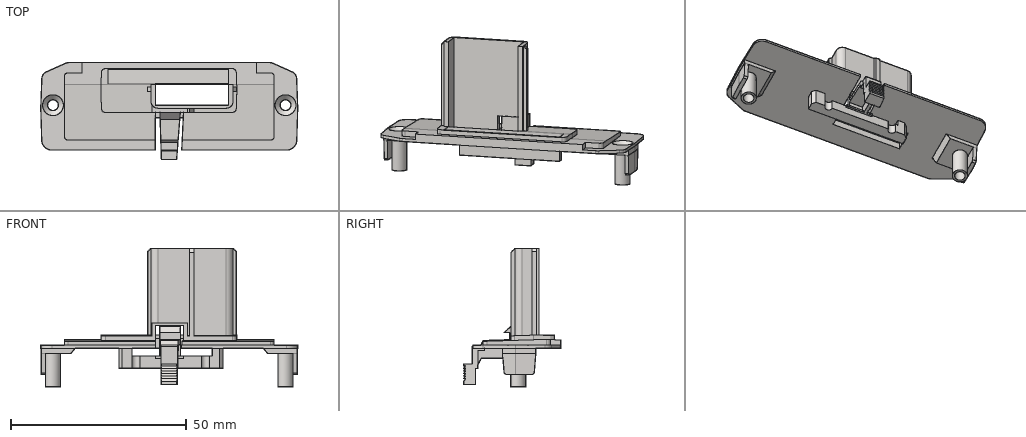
import cadquery as cq

LENGTH = 73.45
PLATE_T = 0.9
BACK_Y = 12.2
FRONT_Y = -12.85
SIDE_APEX_Y = -0.7
END_X = 36.35
FRONT_CORNER_R = 2.95
BACK_SLANT_X = 29.2
BACK_SLANT_Y = 8.95
BACK_CORNER_R = 2.2

KINK_Y = 5.95
SLOPE = 0.032
REAR_SLOPE = 0.01
MID_Z = 2.5
MID_HALF = 30.0
MID_FRONT_Y = -10.0
MID_BACK_Y = 9.25
MID_TAIL_HALF = 24.9
TOP_Z = 3.8
TOP_LEFT = -19.3
TOP_RIGHT = 19.1
TOP_BOW = 0.2
TOP_BOW_Y = 4.4
TOP_FRONT_Y = -2.05
TOP_BACK_Y = 10.4
LAYER_R = 1.1

RAMP_LEFT = -17.5
RAMP_FRONT_Y = 6.2
RAMP_BACK_Y = 10.15
RAMP_DROP = 0.2
LEDGE_Z = 2.9

COLUMN_TOP = 28.6
CHANNEL_LEFT = -3.9
CHANNEL_RIGHT = 16.9
SIDE_WALL = 1.3
FRONT_WALL = 0.9
COLUMN_R = 2.0
COLUMN_LEFT = CHANNEL_LEFT - SIDE_WALL
COLUMN_RIGHT = CHANNEL_RIGHT + SIDE_WALL

GUIDE_RIB_W = 1.25
SIDE_RIB_H = 0.95
FRONT_RIB_H = -FRONT_WALL - TOP_FRONT_Y
FRONT_RIB_X = 6.5
SIDE_RIB_Y = 4.55

FRAME_LEFT = -5.0
FRAME_RIGHT = 5.15
FRAME_TOP = 7.3
WINDOW_TOP = 6.5

SLOT_LEFT = -4.0
SLOT_RIGHT_BACK = 4.05
SLOT_RIGHT_FRONT = 3.5

SCREW_X = 33.2
SCREW_D = 3.0
SINK_D = 5.95
BOSS_D = 4.3
BOSS_BOTTOM = -11.0
PAD_T = 1.55
PAD_INNER_X = 26.8
PAD_CHAMFER = 1.3
WALL_INNER_X = 35.3
PAD_INSET = 0.1
WALL_INSET = 0.15
WALL_BOTTOM = -7.5
WALL_BACK_Y = 5.1
WALL_FRONT_Y = -4.5
WALL_DRAFT = 0.45
WALL_CHAMFER = 0.5

BRACKET_LEFT = -14.4
BRACKET_RIGHT = 15.35
BRACKET_FRONT_Y = -3.1
BRACKET_BOTTOM = -5.7
BRACKET_CHAMFER = 0.95
BAR_TOP = -2.1
OPENING_LEFT = -10.6
OPENING_RIGHT = 12.3
GROOVE_R = 1.1
GROOVE_XS = (-9.5, 10.35)

WEB_FRONT_Y = -3.6
LATCH_BACK_Y = -1.5
LATCH_BOTTOM = -2.9
STEM_FRONT_Y = -2.4
HOOK_TIP_Y = -4.05
HOOK_Z = 4.5
HOOK_TOP = 6.3
ARM_Z = 2.5
ARM_T = 1.5
ARM_STEP_Y = -10.0
ARM_DROP_Y = -10.7
STEP_BACK_Y = -9.6
LEG_BACK_Y = -11.5
LEG_FRONT_Y = -13.15
LEG_BOTTOM = -5.8
LEG_CHAMFER = 0.3
RIB_INNER_X = 1.4
RIB_OUTER_X = 2.35
GUSSET_H = 1.9
GUSSET_Y = -10.5
GRIP_BACK_Y = -12.1
GRIP_FRONT_Y = -15.6
GRIP_TOP = -4.4
GRIP_BOTTOM = -10.35
LATCH_LEFT_BACK = -2.7
LATCH_LEFT_FRONT = -2.3
LATCH_RIGHT_BACK = 3.2
LATCH_RIGHT_FRONT = 2.1
TOOTH_COUNT = 6
TOOTH_PITCH = 0.7
TOOTH_DEPTH = 0.5
FIRST_TOOTH_Z = -5.0


def block(x0, x1, y0, y1, z0, z1):
    """Box between two opposite corners."""
    return cq.Workplane("XY").box(x1 - x0, y1 - y0, z1 - z0, centered=False).translate((x0, y0, z0))


def plan_prism(points, z0, z1):
    """Prism over a plan outline in X and Y."""
    return cq.Workplane("XY").workplane(offset=z0).polyline(points).close().extrude(z1 - z0)


def side_prism(points, x0, x1):
    """Prism along X over a side profile in Y and Z."""
    return cq.Workplane("YZ").workplane(offset=x0).polyline(points).close().extrude(x1 - x0)


def plate_outline(z0, z1, inset=0.0):
    """Base plate outline as a prism, optionally drawn in at both ends."""
    half = LENGTH / 2 - inset
    end = END_X - inset
    right = [
        (end, FRONT_Y),
        (half, SIDE_APEX_Y),
        (end, BACK_SLANT_Y),
        (BACK_SLANT_X, BACK_Y),
    ]
    left = [(-x, y) for x, y in reversed(right)]
    body = plan_prism(right + left, z0, z1)
    body = body.edges("|Z").edges("<Y").fillet(FRONT_CORNER_R)
    for x in (-end, end):
        corner = cq.selectors.NearestToPointSelector((x, BACK_SLANT_Y, (z0 + z1) / 2))
        body = body.edges("|Z").edges(corner).fillet(BACK_CORNER_R)
    for x in (-BACK_SLANT_X, BACK_SLANT_X):
        corner = cq.selectors.NearestToPointSelector((x, BACK_Y, (z0 + z1) / 2))
        body = body.edges("|Z").edges(corner).fillet(BACK_CORNER_R)
    return body


def sloped_layer(plan, top_z):
    """Trim a plan prism to a top that falls away to both sides of the kink."""
    front_z = top_z - SLOPE * (KINK_Y - FRONT_Y)
    back_z = top_z - REAR_SLOPE * (BACK_Y - KINK_Y)
    profile = [(FRONT_Y, 0), (BACK_Y, 0), (BACK_Y, back_z), (KINK_Y, top_z), (FRONT_Y, front_z)]
    return plan.intersect(side_prism(profile, -LENGTH / 2, LENGTH / 2))


def mid_layer():
    plan = block(-MID_HALF, MID_HALF, MID_FRONT_Y, MID_BACK_Y, 0, MID_Z)
    plan = plan.edges("|Z").fillet(LAYER_R)
    tail = block(-MID_TAIL_HALF, MID_TAIL_HALF, KINK_Y, BACK_Y, 0, MID_Z)
    return sloped_layer(plan.union(tail), MID_Z)


def top_layer():
    outline = [
        (TOP_LEFT, TOP_FRONT_Y),
        (TOP_RIGHT, TOP_FRONT_Y),
        (TOP_RIGHT + TOP_BOW, TOP_BOW_Y),
        (TOP_RIGHT, TOP_BACK_Y),
        (TOP_LEFT, TOP_BACK_Y),
        (TOP_LEFT - TOP_BOW, TOP_BOW_Y),
    ]
    plan = plan_prism(outline, 0, TOP_Z)
    for side in ("<Y", ">Y"):
        plan = plan.edges("|Z").edges(side).fillet(LAYER_R)
    layer = sloped_layer(plan, TOP_Z)
    ramp = [(RAMP_FRONT_Y, TOP_Z), (RAMP_BACK_Y, TOP_Z), (RAMP_BACK_Y, TOP_Z - RAMP_DROP)]
    ledge = block(CHANNEL_LEFT, CHANNEL_RIGHT, KINK_Y, RAMP_FRONT_Y, LEDGE_Z, TOP_Z)
    return layer.cut(side_prism(ramp, RAMP_LEFT, CHANNEL_RIGHT)).cut(ledge)


def column():
    """Solid column with guide ribs and the window frame; the channel is cut later."""
    body = block(COLUMN_LEFT, COLUMN_RIGHT, -FRONT_WALL, KINK_Y, PLATE_T, COLUMN_TOP)
    body = body.edges("|Z").edges("<Y").fillet(COLUMN_R)

    rib_x0 = FRONT_RIB_X - GUIDE_RIB_W / 2
    rib_x1 = FRONT_RIB_X + GUIDE_RIB_W / 2
    front_rib = block(rib_x0, rib_x1, TOP_FRONT_Y, 0, PLATE_T, COLUMN_TOP)
    front_rib = front_rib.edges("<Y and >Z").chamfer(FRONT_RIB_H)

    rib_y0 = SIDE_RIB_Y - GUIDE_RIB_W / 2
    rib_y1 = SIDE_RIB_Y + GUIDE_RIB_W / 2
    rib_left = COLUMN_LEFT - SIDE_RIB_H
    rib_right = COLUMN_RIGHT + SIDE_RIB_H
    side_ribs = block(rib_left, rib_right, rib_y0, rib_y1, PLATE_T, COLUMN_TOP)
    side_ribs = side_ribs.edges("|Y and >Z").chamfer(SIDE_RIB_H)

    frame = block(FRAME_LEFT, FRAME_RIGHT, TOP_FRONT_Y, 0, PLATE_T, FRAME_TOP)
    return body.union(front_rib).union(side_ribs).union(frame)


def slot_and_window():
    """Slot through the plate, continued up through the front wall as the window."""
    plan = [
        (SLOT_LEFT, FRONT_Y),
        (SLOT_RIGHT_FRONT, FRONT_Y),
        (SLOT_RIGHT_BACK, TOP_FRONT_Y),
        (SLOT_RIGHT_BACK, 0),
        (SLOT_LEFT, 0),
    ]
    return plan_prism(plan, 0, WINDOW_TOP)


def screw_boss(side):
    """Pad, outer wall and post under one end; side is -1 or 1."""
    outer = LENGTH / 2
    pad_profile = [
        (side * outer, 0),
        (side * PAD_INNER_X, 0),
        (side * (PAD_INNER_X + PAD_CHAMFER), -PAD_T),
        (side * outer, -PAD_T),
    ]
    pad = cq.Workplane("XZ", origin=(0, WALL_BACK_Y, 0)).polyline(pad_profile).close()
    pad = pad.extrude(WALL_BACK_Y - WALL_FRONT_Y)

    back = WALL_BACK_Y - WALL_DRAFT
    front = WALL_FRONT_Y + WALL_DRAFT
    wall_profile = [
        (WALL_FRONT_Y, 0),
        (WALL_BACK_Y, 0),
        (WALL_BACK_Y, -PAD_T),
        (back, WALL_BOTTOM + WALL_CHAMFER),
        (back - WALL_CHAMFER, WALL_BOTTOM),
        (front + WALL_CHAMFER, WALL_BOTTOM),
        (front, WALL_BOTTOM + WALL_CHAMFER),
        (WALL_FRONT_Y, -PAD_T),
    ]
    wall = side_prism(wall_profile, side * WALL_INNER_X, side * outer)
    pad = pad.intersect(plate_outline(-PAD_T, 0, PAD_INSET))
    wall = wall.intersect(plate_outline(WALL_BOTTOM, 0, WALL_INSET))
    post = cq.Workplane("XY").center(side * SCREW_X, 0).circle(BOSS_D / 2).extrude(BOSS_BOTTOM)
    return pad.union(wall).union(post)


def screw_hole(side):
    """Through hole with a right-angled countersink from the plate top."""
    x = side * SCREW_X
    hole = cq.Workplane("XY").center(x, 0).circle(SCREW_D / 2).extrude(BOSS_BOTTOM)
    sink_depth = (SINK_D - SCREW_D) / 2
    sink = cq.Solid.makeCone(
        SINK_D / 2, SCREW_D / 2, sink_depth, cq.Vector(x, 0, PLATE_T), cq.Vector(0, 0, -1)
    )
    return hole.union(cq.Workplane(sink))


def bracket():
    """Chamfered block under the plate with an opening and two half-round upright grooves."""
    body = block(BRACKET_LEFT, BRACKET_RIGHT, BRACKET_FRONT_Y, 0, BRACKET_BOTTOM, 0)
    body = body.edges("|Z and <Y").chamfer(BRACKET_CHAMFER)
    body = body.cut(block(OPENING_LEFT, OPENING_RIGHT, BRACKET_FRONT_Y, 0, BAR_TOP, 0))
    grooves = cq.Workplane("XY").pushPoints([(x, BRACKET_FRONT_Y) for x in GROOVE_XS])
    grooves = grooves.circle(GROOVE_R).extrude(BRACKET_BOTTOM)
    return body.cut(grooves)


def latch():
    """Hooked stem, arm, leg and serrated grip, narrowing toward the front."""
    grip = []
    for i in range(TOOTH_COUNT):
        z = FIRST_TOOTH_Z - i * TOOTH_PITCH
        grip += [(GRIP_FRONT_Y, z), (GRIP_FRONT_Y + TOOTH_DEPTH, z)]
    grip.append((GRIP_FRONT_Y, FIRST_TOOTH_Z - TOOTH_COUNT * TOOTH_PITCH))

    arm_end_z = ARM_Z - SLOPE * (STEM_FRONT_Y - ARM_STEP_Y)
    profile = [
        (LATCH_BACK_Y, HOOK_TOP),
        (TOP_FRONT_Y, HOOK_TOP),
        (HOOK_TIP_Y, HOOK_Z),
        (STEM_FRONT_Y, HOOK_Z),
        (STEM_FRONT_Y, ARM_Z),
        (ARM_STEP_Y, arm_end_z),
        (ARM_DROP_Y, PLATE_T),
        (LEG_FRONT_Y + LEG_CHAMFER, PLATE_T),
        (LEG_FRONT_Y, PLATE_T - LEG_CHAMFER),
        (LEG_FRONT_Y, GRIP_TOP),
        (GRIP_FRONT_Y, GRIP_TOP),
        *grip,
        (GRIP_FRONT_Y, GRIP_BOTTOM),
        (GRIP_BACK_Y, GRIP_BOTTOM),
        (GRIP_BACK_Y, LEG_BOTTOM),
        (LEG_BACK_Y, LEG_BOTTOM),
        (LEG_BACK_Y, PLATE_T - ARM_T),
        (STEP_BACK_Y, PLATE_T - ARM_T),
        (STEP_BACK_Y, arm_end_z - ARM_T),
        (STEM_FRONT_Y, ARM_Z - ARM_T),
        (STEM_FRONT_Y, LATCH_BOTTOM),
        (LATCH_BACK_Y, LATCH_BOTTOM),
    ]
    plan = [
        (LATCH_LEFT_BACK, LATCH_BACK_Y),
        (LATCH_LEFT_FRONT, GRIP_FRONT_Y),
        (LATCH_RIGHT_FRONT, GRIP_FRONT_Y),
        (LATCH_RIGHT_BACK, LATCH_BACK_Y),
    ]
    body = side_prism(profile, LATCH_LEFT_BACK, LATCH_RIGHT_BACK)
    body = body.intersect(plan_prism(plan, GRIP_BOTTOM, HOOK_TOP))
    web = block(SLOT_LEFT, SLOT_RIGHT_BACK, WEB_FRONT_Y, LATCH_BACK_Y, LATCH_BOTTOM, BAR_TOP)
    rib_profile = [
        (STEM_FRONT_Y, LATCH_BOTTOM),
        (GUSSET_Y, LATCH_BOTTOM),
        (LEG_BACK_Y, LATCH_BOTTOM - GUSSET_H),
        (LEG_BACK_Y, PLATE_T - ARM_T),
        (STEP_BACK_Y, PLATE_T - ARM_T),
        (STEP_BACK_Y, arm_end_z - ARM_T),
        (STEM_FRONT_Y, ARM_Z - ARM_T),
    ]
    rib = side_prism(rib_profile, RIB_INNER_X, RIB_OUTER_X)
    return body.union(web).union(rib)


body = plate_outline(0, PLATE_T).union(mid_layer()).union(top_layer()).union(column())
body = body.cut(block(CHANNEL_LEFT, CHANNEL_RIGHT, 0, KINK_Y, 0, COLUMN_TOP))
body = body.cut(slot_and_window())
for side in (-1, 1):
    body = body.union(screw_boss(side))
body = body.union(bracket()).union(latch())

for side in (-1, 1):
    body = body.cut(screw_hole(side))

result = body